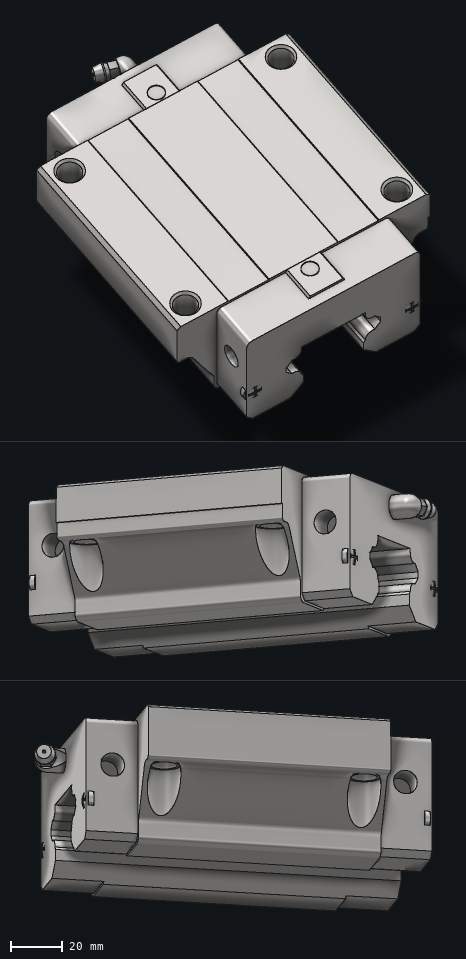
import cadquery as cq
import math


block_length = 97.2
block_half_width = 60.0
block_height = 51.5
top_chamfer_width = 1.8
top_chamfer_drop = 1.4
flange_bottom = 29.4
flange_corner_radius = 1.4
datum_step = 0.9
datum_step_height = 36.1
slope_top_half_width = 53.6
slope_top_radius = 3.4
foot_half_width = 42.3
foot_height = 8.5
slope_foot_radius = 5.6
foot_corner_radius = 2.9

relief_inner = 16.3
relief_outer = 35.8
relief_depth = 0.23
relief_slope = 0.3

hole_x = 40.0
hole_y = 50.1
hole_diameter = 10.2
hole_mouth_diameter = 12.3
hole_mouth_angle = 90
counterbore_radius = 6.5

cap_end = 64.5
plate_end = 69.3
cap_half_width = 41.1
cap_bottom = 0.9
cap_top = 50.1
cap_top_radius = 2.7
cap_bottom_chamfer = 2.7
strip_half_width = 7.8
strip_slope = 0.8
strip_top = 51.3
oil_mark_x = 53.1
oil_mark_diameter = 7.2
oil_mark_depth = 0.5
side_hole_x = 58.6
side_hole_z = 31.0
side_hole_diameter = 9.5
side_hole_depth = 12.2

opening_top = 29.2
opening_half_width = 15.0
throat_half_width = 14.2
throat_top = 11.0
throat_bottom = 6.5
mouth_half_width = 21.3
groove_center_z = 20.0
groove_half_width = 22.4
groove_flat = 1.2
groove_edge_half_width = 19.6
groove_edge = 4.1
lip_radius = 3.7
lip_center = 7.8

screw_y = 37.2
screw_z = 16.9
screw_radius = 3.0
screw_rise = 0.58
screw_slot_width = 0.8
screw_slot_depth = 0.5
disc_radius = 4.9
disc_thickness = 2.3
disc_inset = 0.8

nipple_z = 43.1
elbow_radius = 4.9
elbow_length = 6.5
nipple_angle = 18.0
elbow_flat = 2.5
hex_end = 6.2
hex_corner_diameter = 7.9
neck_radius = 3.4
head_radius = 4.1
head_start = 8.0
head_end = 8.7
tip_radius = 2.9
tip_end = 12.3
bore_diameter = 1.2
bore_depth = 1.5

SIDES = (-1, 1)


def block_half_points(side):
    """Sharp half outline of the block on one side, from the top down."""
    outer = side * block_half_width
    lower = outer - (datum_step if side > 0 else 0)
    points = [
        (side * relief_inner, block_height),
        (side * (relief_inner + relief_slope), block_height - relief_depth),
        (side * (relief_outer - relief_slope), block_height - relief_depth),
        (side * relief_outer, block_height),
        (outer - side * top_chamfer_width, block_height),
        (outer, block_height - top_chamfer_drop),
    ]
    if side > 0:
        points += [(outer, datum_step_height), (lower, datum_step_height)]
    points += [
        (lower, flange_bottom),
        (side * slope_top_half_width, flange_bottom),
        (side * foot_half_width, foot_height),
        (side * foot_half_width, 0),
    ]
    return points


def make_block():
    """Flanged steel block with its rounded corners and mounting holes."""
    outline = block_half_points(1) + block_half_points(-1)[::-1]
    block = cq.Workplane("YZ").polyline(outline).close().extrude(block_length / 2, both=True)

    for side in SIDES:
        lower, slope_top, slope_foot, foot = block_half_points(side)[-4:]
        roundings = (
            (lower, flange_corner_radius),
            (slope_top, slope_top_radius),
            (slope_foot, slope_foot_radius),
            (foot, foot_corner_radius),
        )
        for (y, z), radius in roundings:
            block = block.edges(cq.NearestToPointSelector((0, y, z))).fillet(radius)

    mounting = [(sx * hole_x, sy * hole_y) for sx in SIDES for sy in SIDES]
    counterbores = cq.Workplane("XY").pushPoints(mounting).circle(counterbore_radius).extrude(flange_bottom)
    block = block.cut(counterbores)
    return (
        block.faces(">Z").workplane(origin=(0, 0, block_height)).pushPoints(mounting)
        .cskHole(hole_diameter, hole_mouth_diameter, hole_mouth_angle)
    )


def make_cap(side):
    """End cap with its seal plate; side is the sign of X."""
    inner = side * block_length / 2
    body_length = plate_end - block_length / 2
    height = cap_top - cap_bottom
    body = (
        cq.Workplane("XY")
        .box(body_length, 2 * cap_half_width, height)
        .edges("|X and >Z").fillet(cap_top_radius)
        .edges("|X and <Z").chamfer(cap_bottom_chamfer)
        .translate((inner + side * body_length / 2, 0, cap_bottom + height / 2))
    )

    strip = (
        cq.Workplane("YZ", origin=(inner, 0, 0))
        .polyline([
            (-strip_half_width - strip_slope, cap_top),
            (strip_half_width + strip_slope, cap_top),
            (strip_half_width, strip_top),
            (-strip_half_width, strip_top),
        ])
        .close()
        .extrude(side * (cap_end - block_length / 2))
    )
    oil_mark = (
        cq.Workplane("XY", origin=(side * oil_mark_x, 0, strip_top))
        .circle(oil_mark_diameter / 2).extrude(-oil_mark_depth)
    )
    cap = body.union(strip).cut(oil_mark)

    for y_side in SIDES:
        side_hole = (
            cq.Workplane("XZ", origin=(side * side_hole_x, y_side * cap_half_width, side_hole_z))
            .circle(side_hole_diameter / 2).extrude(y_side * side_hole_depth)
        )
        disc = (
            cq.Workplane("YZ", origin=(side * (plate_end - disc_inset), y_side * screw_y, screw_z))
            .circle(disc_radius).extrude(-side * disc_thickness)
        )
        cap = cap.cut(side_hole).union(disc)
    return cap


def make_opening():
    """Rail opening through the whole carriage: two mirrored halves."""
    middle = groove_center_z
    lip_shift = lip_radius * math.sqrt(0.5)
    lip_middle_y = opening_half_width + lip_radius - lip_shift
    lip_middle = lip_center - lip_shift
    half = (
        cq.Workplane("YZ", origin=(-plate_end, 0, 0))
        .moveTo(0, opening_top)
        .lineTo(opening_half_width, opening_top)
        .lineTo(opening_half_width, middle + lip_center)
        .threePointArc((lip_middle_y, middle + lip_middle), (groove_edge_half_width, middle + groove_edge))
        .lineTo(groove_half_width, middle + groove_flat)
        .lineTo(groove_half_width, middle - groove_flat)
        .lineTo(groove_edge_half_width, middle - groove_edge)
        .threePointArc((lip_middle_y, middle - lip_middle), (opening_half_width, middle - lip_center))
        .lineTo(throat_half_width, throat_top)
        .lineTo(throat_half_width, throat_bottom)
        .lineTo(mouth_half_width, 0)
        .lineTo(0, 0)
        .close()
        .extrude(2 * plate_end)
    )
    return half.union(half.mirror("XZ"))


def make_screw_head(x_side, y_side):
    """Domed head with a cross slot, standing on the outer face of a seal plate."""
    dome_radius = (screw_radius**2 + screw_rise**2) / (2 * screw_rise)
    slot_floor = screw_rise - screw_slot_depth
    slot_length = 2 * screw_radius
    head = (
        cq.Workplane("XY").sphere(dome_radius)
        .translate((0, 0, screw_rise - dome_radius))
        .intersect(cq.Workplane("XY").circle(screw_radius).extrude(screw_rise))
    )
    for slot_size in ((slot_length, screw_slot_width), (screw_slot_width, slot_length)):
        slot = cq.Workplane("XY", origin=(0, 0, slot_floor)).rect(*slot_size).extrude(screw_slot_depth)
        head = head.cut(slot)
    return (
        head
        .rotate((0, 0, 0), (0, 1, 0), 90 * x_side)
        .translate((x_side * plate_end, y_side * screw_y, screw_z))
    )


def make_nipple():
    """Elbow with a ball end, and the hexagon and conical head on its tilted flat."""
    tilt = math.radians(nipple_angle)
    axis = cq.Vector(-math.sin(tilt), -math.cos(tilt), 0)
    level = cq.Vector(math.cos(tilt), -math.sin(tilt), 0)
    ball_center = cq.Vector(-plate_end - elbow_length, 0, nipple_z)

    def across(distance):
        """Workplane square to the nipple axis, with its local X axis horizontal."""
        return cq.Workplane(cq.Plane(ball_center + axis * distance, level, axis))

    ball_shift = elbow_radius * math.sqrt(0.5)
    trim_size = 4 * elbow_radius
    elbow = (
        cq.Workplane("XY", origin=ball_center.toTuple())
        .moveTo(elbow_length, 0)
        .lineTo(elbow_length, elbow_radius)
        .lineTo(0, elbow_radius)
        .threePointArc((-ball_shift, ball_shift), (-elbow_radius, 0))
        .close()
        .revolve(360, (0, 0, 0), (1, 0, 0))
        .cut(across(elbow_flat).rect(trim_size, trim_size).extrude(trim_size))
    )
    hexagon = across(0).polygon(6, hex_corner_diameter).extrude(hex_end)
    head = (
        cq.Workplane(cq.Plane(ball_center, level, level.cross(axis)))
        .moveTo(0, hex_end)
        .lineTo(neck_radius, hex_end)
        .lineTo(head_radius, head_start)
        .lineTo(head_radius, head_end)
        .lineTo(tip_radius, tip_end)
        .lineTo(0, tip_end)
        .close()
        .revolve(360, (0, 0, 0), (0, 1, 0))
    )
    bore = across(tip_end).circle(bore_diameter / 2).extrude(-bore_depth)
    return elbow.union(hexagon).union(head).cut(bore)


carriage = make_block()
for x_side in SIDES:
    carriage = carriage.union(make_cap(x_side))
carriage = carriage.cut(make_opening())
for x_side in SIDES:
    for y_side in SIDES:
        carriage = carriage.union(make_screw_head(x_side, y_side))
result = carriage.union(make_nipple())